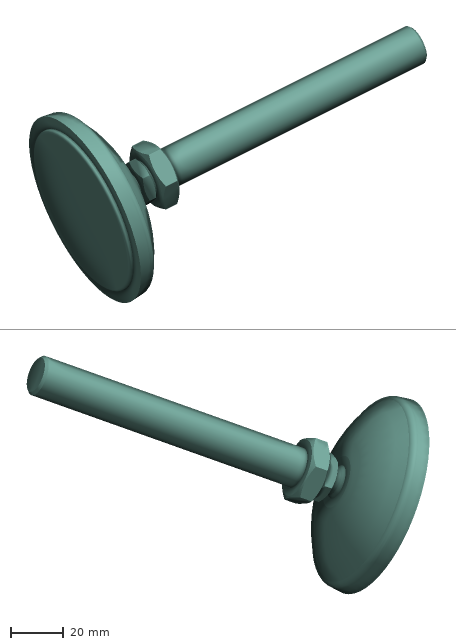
import cadquery as cq
import math

total_length = 153.7

pad_height = 1.8
pad_radius = 34.3
pad_face_radius = 34.0
pad_round = 1.0

cup_rim_radius = 39.5
cup_shoulder_radius = 38.9
cup_shoulder_y = 6.6
dome_edge_radius = 36.9
dome_edge_y = 9.4
dome_top_radius = 10.5
dome_top_y = 20.0
dome_sphere_radius = 49.2
shoulder_round = 2.9

rod_radius = 8.0
rod_chamfer = 1.0
neck_radius = 5.7
flare_radius = 6.8
flare_height = 1.4
collar_start_y = 24.1
collar_height = 4.9
collar_across_flats = 17.0

nut_start_y = 29.7
nut_height = 8.0
nut_across_flats = 24.0

hex_chamfer_angle = 30.0
hex_face_ratio = 0.95


def revolve_about_y(profile):
    """Turn a closed half profile, given in X and Y, about the Y axis."""
    return profile.close().revolve(360, (0, 0, 0), (0, 1, 0))


def bulge_point(start, end, radius):
    """Middle of the outward-bulging arc from start to a higher, inner end."""
    dx = end[0] - start[0]
    dy = end[1] - start[1]
    chord = math.hypot(dx, dy)
    rise = radius - math.sqrt(radius**2 - (chord / 2) ** 2)
    middle_x = (start[0] + end[0]) / 2
    middle_y = (start[1] + end[1]) / 2
    return (middle_x + rise * dy / chord, middle_y - rise * dx / chord)


def chamfered_hexagon(start_y, height, across_flats, corner_turn):
    """Hexagonal prism along Y with its corners turned down at both ends."""
    corner_radius = across_flats / math.sqrt(3)
    face_radius = hex_face_ratio * across_flats / 2
    drop = (corner_radius - face_radius) * math.tan(math.radians(hex_chamfer_angle))
    prism = (
        cq.Workplane("XZ", origin=(0, start_y, 0))
        .polygon(6, 2 * corner_radius)
        .extrude(-height)
        .rotate((0, 0, 0), (0, 1, 0), corner_turn)
    )
    end_y = start_y + height
    envelope = revolve_about_y(
        cq.Workplane("XY")
        .moveTo(0, start_y)
        .lineTo(face_radius, start_y)
        .lineTo(corner_radius, start_y + drop)
        .lineTo(corner_radius, end_y - drop)
        .lineTo(face_radius, end_y)
        .lineTo(0, end_y)
    )
    return prism.intersect(envelope)


def make_pad():
    """Slightly tapered disc with a rounded ground edge."""
    disc = revolve_about_y(
        cq.Workplane("XY")
        .lineTo(pad_face_radius, 0)
        .lineTo(pad_radius, pad_height)
        .lineTo(0, pad_height)
    )
    return disc.faces("<Y").edges().fillet(pad_round)


def make_cup():
    """Tapered rim, rounded shoulder and flat-topped dome, resting on the pad."""
    shoulder = (cup_shoulder_radius, cup_shoulder_y)
    dome_edge = (dome_edge_radius, dome_edge_y)
    dome_top = (dome_top_radius, dome_top_y)
    return revolve_about_y(
        cq.Workplane("XY")
        .moveTo(0, pad_height)
        .lineTo(cup_rim_radius, pad_height)
        .lineTo(*shoulder)
        .threePointArc(bulge_point(shoulder, dome_edge, shoulder_round), dome_edge)
        .threePointArc(bulge_point(dome_edge, dome_top, dome_sphere_radius), dome_top)
        .lineTo(0, dome_top_y)
    )


def make_spindle():
    """Flared neck, hexagonal collar and long rod with a chamfered end."""
    collar_end_y = collar_start_y + collar_height
    neck = revolve_about_y(
        cq.Workplane("XY")
        .moveTo(0, dome_top_y)
        .lineTo(flare_radius, dome_top_y)
        .lineTo(neck_radius, dome_top_y + flare_height)
        .lineTo(neck_radius, collar_start_y)
        .lineTo(0, collar_start_y)
    )
    collar = chamfered_hexagon(collar_start_y, collar_height, collar_across_flats, 0)
    rod = (
        cq.Workplane("XZ", origin=(0, collar_end_y, 0))
        .circle(rod_radius)
        .extrude(collar_end_y - total_length)
        .faces(">Y")
        .chamfer(rod_chamfer)
    )
    return neck.union(collar).union(rod)


def make_nut():
    """Lock nut on the rod, with corners pointing along Z."""
    blank = chamfered_hexagon(nut_start_y, nut_height, nut_across_flats, 30)
    bore = cq.Workplane("XZ", origin=(0, nut_start_y, 0)).circle(rod_radius).extrude(-nut_height)
    return blank.cut(bore)


pad = make_pad()
cup = make_cup()
spindle = make_spindle()
nut = make_nut()

result = cq.Compound.makeCompound([pad.val(), cup.val(), spindle.val(), nut.val()])